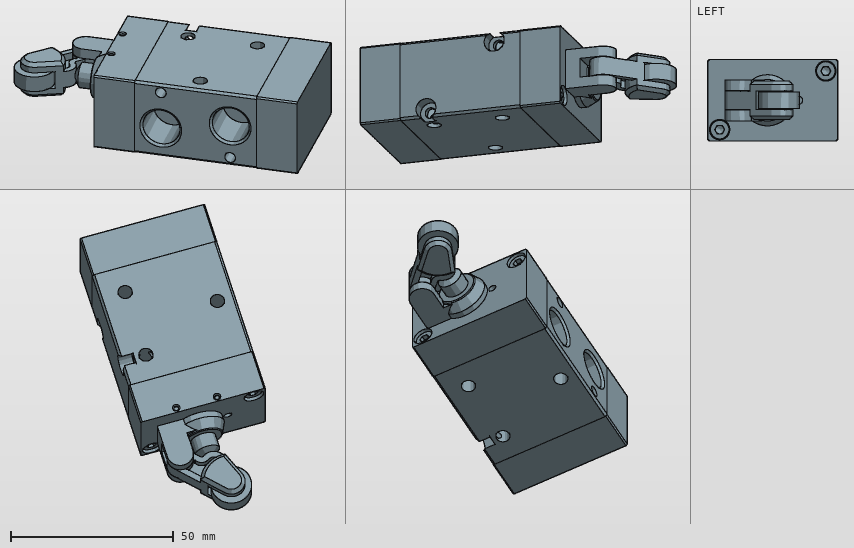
import cadquery as cq
import math


BLOCK_WIDTH = 40.0
BLOCK_HEIGHT = 25.1
CAP_LENGTH = 13.0
BODY_LENGTH = 38.7
CAP_CHAMFER = 0.5
BODY_CHAMFER = 0.8

PORT_PITCH = 22.1
PORT_MID_X = CAP_LENGTH + BODY_LENGTH / 2
LEFT_PORT_X = PORT_MID_X - PORT_PITCH / 2
RIGHT_PORT_X = PORT_MID_X + PORT_PITCH / 2
LEFT_PORT_Z = -2.65
RIGHT_PORT_Z = 1.3
PORT_RADIUS = 5.9
PORT_CHAMFER = 0.8
PORT_DEPTH = 13.3
MOUNT_RADIUS = 2.2
MOUNT_BACK_Y = 11.9
MOUNT_FRONT_Y = -14.3
CROSS_RADIUS = 1.7
CROSS_Z = 9.8
CROSS_BORE_RADIUS = 3.2
CROSS_BORE_DEPTH = 4.45

VENT_Y = -8.0
VENT_RADIUS = 1.2
VENT_DEPTH = 2.8
SET_HOLE_X = 1.5
SET_HOLE_OFFSET = 6.5
SET_HOLE_RADIUS = 0.8
SET_HOLE_CHAMFER = 0.4
SET_HOLE_DEPTH = 0.9

SCREW_Y = 16.3
SCREW_Z = 9.0
HEAD_RADIUS = 2.8
HEAD_LENGTH = 3.0
HEAD_RECESS = 0.9
COUNTERBORE_RADIUS = 3.1
SHANK_RADIUS = 1.5
SHANK_LENGTH = 5.7
SOCKET_WIDTH = 2.65
SOCKET_DEPTH = 1.5
SOCKET_CONE_DEPTH = 0.8

AXIS_Y = 1.6
COLLAR_RADIUS = 7.9
COLLAR_NOSE_RADIUS = 6.25
COLLAR_RIM_LENGTH = 1.9
COLLAR_LENGTH = 5.4
COLLAR_NOSE_CHAMFER = 0.3
PLUNGER_RADIUS = 4.0
PLUNGER_TIP_RADIUS = 1.4
PLUNGER_CONE_LENGTH = 1.6

PIVOT_X = -10.8
PIVOT_Y = 10.6
PIVOT_RADIUS = 4.1
CLEVIS_HEIGHT = 12.6
CLEVIS_SLOT = 6.1
CLEVIS_BASE_LENGTH = 4.7

LEVER_THICKNESS = 5.7
CHEEK_HEIGHT = 11.9
CHEEK_CHAMFER = 1.1
CHEEK_RADIUS = 9.5
NOSE_RADIUS = 4.3
PAD_X = -15.4
PAD_Y = 1.1
PAD_RADIUS = 4.0
NECK_OFFSET = 3.4
NECK_FILLET = 0.85
POCKET_RIM = 1.9
POCKET_DEPTH = 2.4

ROLLER_X = -23.8
ROLLER_Y = -1.9
ROLLER_RADIUS = 6.25
ROLLER_WIDTH = 5.1
ROLLER_SLOT_RADIUS = 7.2
ROLLER_SLOT_WIDTH = 5.8

PIVOT = (PIVOT_X, PIVOT_Y)
PAD = (PAD_X, PAD_Y)
ROLLER = (ROLLER_X, ROLLER_Y)
ARM_LENGTH = math.dist(ROLLER, PIVOT)
ARM_ANGLE = math.atan2(PIVOT_Y - ROLLER_Y, PIVOT_X - ROLLER_X)
PLUNGER_TIP_X = PAD_X + PAD_RADIUS
REAR_CAP_X = CAP_LENGTH + BODY_LENGTH
COUNTERBORE_DEPTH = HEAD_RECESS + HEAD_LENGTH
SCREW_PLACES = [(-SCREW_Y, SCREW_Z), (SCREW_Y, -SCREW_Z)]


def block_slice(x_start, length, chamfer):
    """Slice of the rectangular block with its four long edges chamfered."""
    return (
        cq.Workplane("YZ", origin=(x_start, 0, 0))
        .rect(BLOCK_WIDTH, BLOCK_HEIGHT)
        .extrude(length)
        .edges("|X")
        .chamfer(chamfer)
    )


def x_cylinder(x_start, length, radius, y, z):
    return cq.Workplane("YZ", origin=(x_start, y, z)).circle(radius).extrude(length)


def y_cylinder(y_start, length, radius, x, z):
    return cq.Workplane("XZ", origin=(x, y_start, z)).circle(radius).extrude(-length)


def z_disc(centre, radius, height):
    """Upright disc centred on Z = 0."""
    return cq.Workplane("XY", origin=(*centre, -height / 2)).circle(radius).extrude(height)


def hole_with_chamfer(radius, chamfer, depth):
    """Cutter with its mouth at the origin, going down along -Z."""
    mouth = radius + chamfer
    return (
        cq.Workplane("XZ")
        .polyline([(0, 0), (mouth, 0), (radius, -chamfer), (radius, -depth), (0, -depth)])
        .close()
        .revolve(360, (0, 0, 0), (0, 1, 0))
    )


def make_body():
    body = block_slice(CAP_LENGTH, BODY_LENGTH, BODY_CHAMFER)

    port = hole_with_chamfer(PORT_RADIUS, PORT_CHAMFER, PORT_DEPTH).rotate((0, 0, 0), (1, 0, 0), 90)
    for x, z in [(LEFT_PORT_X, LEFT_PORT_Z), (RIGHT_PORT_X, RIGHT_PORT_Z)]:
        body = body.cut(port.translate((x, -BLOCK_WIDTH / 2, z)))

    mount_places = [
        (LEFT_PORT_X, MOUNT_BACK_Y),
        (RIGHT_PORT_X, MOUNT_BACK_Y),
        (PORT_MID_X, MOUNT_FRONT_Y),
    ]
    for place in mount_places:
        body = body.cut(z_disc(place, MOUNT_RADIUS, BLOCK_HEIGHT))

    bore_floor_y = BLOCK_WIDTH / 2 - CROSS_BORE_DEPTH
    for x, z in [(LEFT_PORT_X, CROSS_Z), (RIGHT_PORT_X, -CROSS_Z)]:
        body = body.cut(y_cylinder(-BLOCK_WIDTH / 2, BLOCK_WIDTH, CROSS_RADIUS, x, z))
        body = body.cut(y_cylinder(bore_floor_y, CROSS_BORE_DEPTH, CROSS_BORE_RADIUS, x, z))
    return body


def make_lever_cap():
    cap = block_slice(0, CAP_LENGTH, CAP_CHAMFER)
    cap = cap.cut(x_cylinder(0, VENT_DEPTH, VENT_RADIUS, VENT_Y, 0))

    set_hole = hole_with_chamfer(SET_HOLE_RADIUS, SET_HOLE_CHAMFER, SET_HOLE_DEPTH)
    for side in (-1, 1):
        y = AXIS_Y + side * SET_HOLE_OFFSET
        cap = cap.cut(set_hole.translate((SET_HOLE_X, y, BLOCK_HEIGHT / 2)))

    for y, z in SCREW_PLACES:
        cap = cap.cut(x_cylinder(0, COUNTERBORE_DEPTH, COUNTERBORE_RADIUS, y, z))
        cap = cap.cut(x_cylinder(COUNTERBORE_DEPTH, SHANK_LENGTH, SHANK_RADIUS, y, z))
    return cap


def make_rear_cap():
    return block_slice(REAR_CAP_X, CAP_LENGTH, CAP_CHAMFER)


def make_screw(y, z):
    screw = x_cylinder(HEAD_RECESS, HEAD_LENGTH + SHANK_LENGTH, SHANK_RADIUS, y, z)
    screw = screw.union(x_cylinder(HEAD_RECESS, HEAD_LENGTH, HEAD_RADIUS, y, z))
    socket = (
        cq.Workplane("YZ", origin=(HEAD_RECESS, y, z))
        .polygon(6, SOCKET_WIDTH / math.cos(math.pi / 6))
        .extrude(SOCKET_DEPTH)
    )
    cone = cq.Solid.makeCone(
        SOCKET_WIDTH / 2,
        0,
        SOCKET_CONE_DEPTH,
        cq.Vector(HEAD_RECESS + SOCKET_DEPTH, y, z),
        cq.Vector(1, 0, 0),
    )
    return screw.cut(socket).cut(cq.Workplane(cone))


def make_clevis():
    collar = (
        cq.Workplane("XY")
        .polyline(
            [
                (0, 0),
                (0, COLLAR_RADIUS),
                (-COLLAR_RIM_LENGTH, COLLAR_RADIUS),
                (-COLLAR_LENGTH, COLLAR_NOSE_RADIUS),
                (-COLLAR_LENGTH, 0),
            ]
        )
        .close()
        .revolve(360, (0, 0, 0), (1, 0, 0))
        .translate((0, AXIS_Y, 0))
        .faces("<X")
        .chamfer(COLLAR_NOSE_CHAMFER)
    )
    arm_edge = PIVOT_Y + PIVOT_RADIUS
    base = cq.Workplane("XY").box(
        CLEVIS_BASE_LENGTH, arm_edge - AXIS_Y, CLEVIS_HEIGHT, centered=(False, False, True)
    )
    base = base.translate((-CLEVIS_BASE_LENGTH, AXIS_Y, 0))

    arm_reach = -PIVOT_X - CLEVIS_BASE_LENGTH
    arms = cq.Workplane("XY").box(
        arm_reach, 2 * PIVOT_RADIUS, CLEVIS_HEIGHT, centered=(False, True, True)
    )
    arms = arms.translate((PIVOT_X, PIVOT_Y, 0)).union(z_disc(PIVOT, PIVOT_RADIUS, CLEVIS_HEIGHT))
    slot = cq.Workplane("XY").box(
        arm_reach + PIVOT_RADIUS, 2 * PIVOT_RADIUS, CLEVIS_SLOT, centered=(False, True, True)
    )
    arms = arms.cut(slot.translate((PIVOT_X - PIVOT_RADIUS, PIVOT_Y, 0)))

    bore = x_cylinder(-COLLAR_LENGTH, COLLAR_LENGTH, PLUNGER_RADIUS, AXIS_Y, 0)
    return collar.union(base).union(arms).cut(bore)


def make_plunger():
    return (
        cq.Workplane("XY")
        .polyline(
            [
                (0, 0),
                (0, PLUNGER_RADIUS),
                (PLUNGER_TIP_X + PLUNGER_CONE_LENGTH, PLUNGER_RADIUS),
                (PLUNGER_TIP_X, PLUNGER_TIP_RADIUS),
                (PLUNGER_TIP_X, 0),
            ]
        )
        .close()
        .revolve(360, (0, 0, 0), (1, 0, 0))
        .translate((0, AXIS_Y, 0))
    )


def tangent_points(centre_a, radius_a, centre_b, radius_b):
    """Ends of the common outer tangent on the right-hand side going from circle A to circle B."""
    dx = centre_b[0] - centre_a[0]
    dy = centre_b[1] - centre_a[1]
    angle = math.atan2(dy, dx) - math.acos((radius_a - radius_b) / math.hypot(dx, dy))
    return [
        (centre[0] + radius * math.cos(angle), centre[1] + radius * math.sin(angle))
        for centre, radius in [(centre_a, radius_a), (centre_b, radius_b)]
    ]


def prism(points, height):
    """Upright prism centred on Z = 0."""
    return cq.Workplane("XY", origin=(0, 0, -height / 2)).polyline(points).close().extrude(height)


def arm_point(along, across):
    """Point at a distance from the roller towards the pivot, and to the pad side of that line."""
    return (
        ROLLER_X + along * math.cos(ARM_ANGLE) + across * math.sin(ARM_ANGLE),
        ROLLER_Y + along * math.sin(ARM_ANGLE) - across * math.cos(ARM_ANGLE),
    )


def lever_plate(height, inset):
    """Lever outline without the pivot eye: roller nose, pad and straight back, moved in by inset."""
    nose = NOSE_RADIUS - inset
    pad = PAD_RADIUS - inset
    lower_edge = tangent_points(ROLLER, nose, PAD, pad)
    back_edge = tangent_points(PIVOT, PIVOT_RADIUS - inset, ROLLER, nose)
    web = prism([*lower_edge, PAD, PIVOT, *back_edge, ROLLER], height)
    return web.union(z_disc(ROLLER, nose, height)).union(z_disc(PAD, pad, height))


def neck_fillet_place():
    """Centre of the fillet between neck and pad, as distances along and across the arm."""
    dx = PAD_X - ROLLER_X
    dy = PAD_Y - ROLLER_Y
    pad_along = dx * math.cos(ARM_ANGLE) + dy * math.sin(ARM_ANGLE)
    pad_across = dx * math.sin(ARM_ANGLE) - dy * math.cos(ARM_ANGLE)
    across = NECK_OFFSET + NECK_FILLET
    along = pad_along + math.sqrt((PAD_RADIUS + NECK_FILLET) ** 2 - (across - pad_across) ** 2)
    return along, across


def lever_blade(height, inset):
    """Lever plate with the neck and pivot eye; the neck runs into the pad through a fillet."""
    across = NECK_OFFSET - inset
    neck = prism(
        [arm_point(0, 0), arm_point(0, across), arm_point(ARM_LENGTH, across), arm_point(ARM_LENGTH, 0)],
        height,
    )
    blade = lever_plate(height, inset).union(neck)
    fillet_along, fillet_across = neck_fillet_place()
    fillet_centre = arm_point(fillet_along, fillet_across)
    fill = prism([ROLLER, PAD, fillet_centre, arm_point(fillet_along, 0)], height)
    blade = blade.union(fill).cut(z_disc(fillet_centre, NECK_FILLET + inset, height))
    return blade.union(z_disc(PIVOT, PIVOT_RADIUS - inset, height))


def make_cheeks():
    """Full-height end of the lever on both sides of the roller, with chamfered rims."""
    end_disc = z_disc(ROLLER, CHEEK_RADIUS, CHEEK_HEIGHT)
    cheeks = lever_plate(CHEEK_HEIGHT, 0).intersect(end_disc)
    return cheeks.faces(">Z or <Z").chamfer(CHEEK_CHAMFER)


def make_lever():
    blade = lever_blade(LEVER_THICKNESS, 0)
    hollow = lever_blade(LEVER_THICKNESS, POCKET_RIM).cut(z_disc(PIVOT, PIVOT_RADIUS, LEVER_THICKNESS))
    lift = LEVER_THICKNESS - POCKET_DEPTH
    for side in (-1, 1):
        blade = blade.cut(hollow.translate((0, 0, side * lift)))
    lever = blade.union(make_cheeks())
    slot = z_disc(ROLLER, ROLLER_SLOT_RADIUS, ROLLER_SLOT_WIDTH)
    return lever.cut(slot)


def make_roller():
    return z_disc(ROLLER, ROLLER_RADIUS, ROLLER_WIDTH)


body = make_body()
lever_cap = make_lever_cap()
rear_cap = make_rear_cap()
clevis = make_clevis()
plunger = make_plunger()
lever = make_lever()
roller = make_roller()
screws = [make_screw(y, z) for y, z in SCREW_PLACES]

result = cq.Compound.makeCompound(
    [
        body.val(),
        lever_cap.val(),
        rear_cap.val(),
        clevis.val(),
        plunger.val(),
        lever.val(),
        roller.val(),
        *[screw.val() for screw in screws],
    ]
)